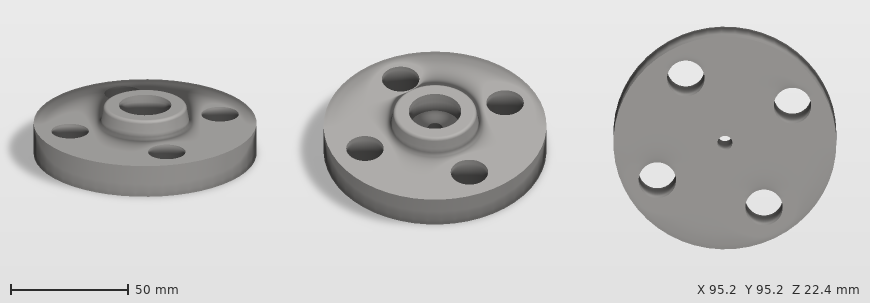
import cadquery as cq
import math


flange_diameter = 95.2
flange_thickness = 14.2
total_height = 22.4

hub_base_diameter = 38.1
hub_taper_angle = 10.0
hub_round_radius = 1.5

socket_diameter = 22.4
socket_depth = 9.5
bore_diameter = 6.4

bolt_hole_count = 4
bolt_hole_diameter = 16.0
bolt_circle_diameter = 66.7

hub_height = total_height - flange_thickness
hub_base_radius = hub_base_diameter / 2
hub_top_radius = hub_base_radius - hub_height * math.tan(math.radians(hub_taper_angle))


def make_blank():
    """Disc and hub revolved from one half section, with the hub edges rounded."""
    flange_radius = flange_diameter / 2
    blank = (
        cq.Workplane("XZ")
        .moveTo(0, 0)
        .lineTo(flange_radius, 0)
        .lineTo(flange_radius, flange_thickness)
        .lineTo(hub_base_radius, flange_thickness)
        .lineTo(hub_top_radius, total_height)
        .lineTo(0, total_height)
        .close()
        .revolve(360, (0, 0, 0), (0, 1, 0))
    )
    hub_top_edge = cq.selectors.RadiusNthSelector(0)
    hub_base_edge = cq.selectors.RadiusNthSelector(1)
    return blank.edges(hub_top_edge + hub_base_edge).fillet(hub_round_radius)


def cut_socket_and_bore(body):
    """Stepped centre hole: wide socket from the hub face, narrow bore right through."""
    return (
        body.faces(">Z")
        .workplane(origin=(0, 0, 0))
        .cboreHole(bore_diameter, socket_diameter, socket_depth)
    )


def cut_bolt_holes(body):
    """Through holes evenly spaced on the bolt circle, the first on the X axis."""
    return (
        body.faces("<Z")
        .workplane(origin=(0, 0, 0))
        .polarArray(bolt_circle_diameter / 2, 0, 360, bolt_hole_count)
        .hole(bolt_hole_diameter)
    )


result = cut_bolt_holes(cut_socket_and_bore(make_blank()))